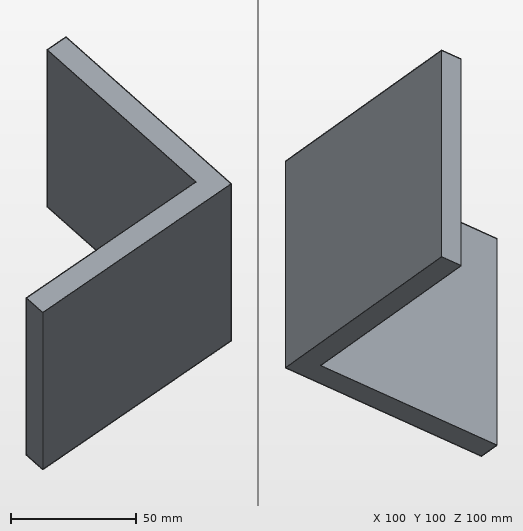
import cadquery as cq

side = 100.0
thickness = 10.0
leg_inner = side - thickness

block = cq.Workplane("XY").box(side, side, side, centered=False)
open_corner = cq.Workplane("XY").box(leg_inner, leg_inner, side, centered=False)

result = block.cut(open_corner)